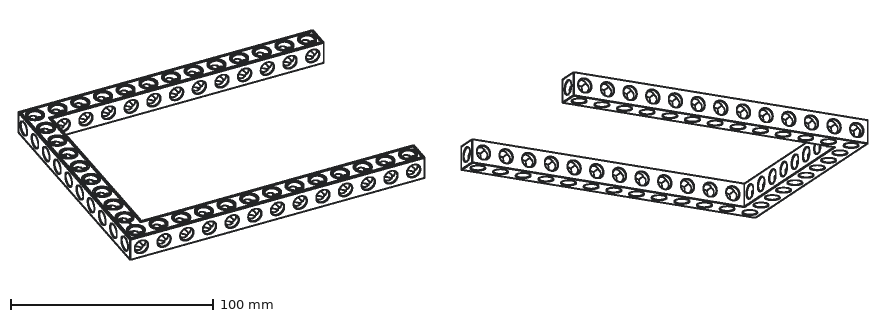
import cadquery as cq

PITCH = 12.5
BASE_HOLES = 10
ARM_HOLES = 13
HOLE_DIAMETER = 7.0
EDGE_CHAMFER = 0.3
RIM_DIAMETER = 9.2
RECESS_DEPTH = 0.2
RIB_WIDTH = 0.2

WIDTH = BASE_HOLES * PITCH
LENGTH = ARM_HOLES * PITCH
HALF_PITCH = PITCH / 2
HOLE_RADIUS = HOLE_DIAMETER / 2
RIM_WIDTH = (RIM_DIAMETER - HOLE_DIAMETER) / 2
RIGHT_ARM_X = WIDTH - PITCH

COLUMNS = [HALF_PITCH + i * PITCH for i in range(BASE_HOLES)]
ROWS = [HALF_PITCH + i * PITCH for i in range(ARM_HOLES)]
ARM_COLUMNS = [COLUMNS[0], COLUMNS[-1]]
BASE_ROW = ROWS[0]
VERTICAL_HOLE_POINTS = [(x, BASE_ROW) for x in COLUMNS]
VERTICAL_HOLE_POINTS += [(x, y) for x in ARM_COLUMNS for y in ROWS[1:]]


def u_outline(inset):
    """Closed outline of the U shape, moved inward by the given inset."""
    return (
        cq.Workplane("XY")
        .moveTo(inset, inset)
        .lineTo(WIDTH - inset, inset)
        .lineTo(WIDTH - inset, LENGTH - inset)
        .lineTo(RIGHT_ARM_X + inset, LENGTH - inset)
        .lineTo(RIGHT_ARM_X + inset, PITCH - inset)
        .lineTo(PITCH - inset, PITCH - inset)
        .lineTo(PITCH - inset, LENGTH - inset)
        .lineTo(inset, LENGTH - inset)
        .close()
    )


def frame():
    """U-shaped frame, chamfered everywhere but at its two upright inner corners."""
    body = u_outline(0).extrude(PITCH)
    inner_corners = cq.selectors.BoxSelector(
        (HALF_PITCH, HALF_PITCH, 0),
        (WIDTH - HALF_PITCH, PITCH + HALF_PITCH, PITCH),
    )
    outer_corners = body.edges("|Z").edges(cq.selectors.InverseSelector(inner_corners))
    flat_edges = body.faces("<Z or >Z").edges()
    return outer_corners.add(flat_edges).chamfer(EDGE_CHAMFER)


def top_recess():
    """Recess inside the border of the top face, leaving the hole rims and one rib."""
    recess = u_outline(RIM_WIDTH).extrude(RECESS_DEPTH)
    rims = (
        cq.Workplane("XY")
        .pushPoints(VERTICAL_HOLE_POINTS)
        .circle(RIM_DIAMETER / 2)
        .extrude(RECESS_DEPTH)
    )
    rib = (
        cq.Workplane("XY")
        .center(RIGHT_ARM_X, BASE_ROW)
        .rect(PITCH - HOLE_DIAMETER, RIB_WIDTH)
        .extrude(RECESS_DEPTH)
    )
    return recess.cut(rims).cut(rib).translate((0, 0, PITCH - RECESS_DEPTH))


def hole_cutter(start, direction, length=PITCH):
    """Cutter for a round hole that is chamfered where it enters and leaves."""
    mouth_radius = HOLE_RADIUS + EDGE_CHAMFER
    profile = (
        cq.Workplane(cq.Plane(start, normal=direction).rotated((90, 0, 0)))
        .lineTo(mouth_radius, 0)
        .lineTo(HOLE_RADIUS, EDGE_CHAMFER)
        .lineTo(HOLE_RADIUS, length - EDGE_CHAMFER)
        .lineTo(mouth_radius, length)
        .lineTo(0, length)
        .close()
    )
    return profile.revolve(360, (0, 0, 0), (0, 1, 0)).val()


def vertical_holes():
    """Holes along Z at every grid point of the frame."""
    return [hole_cutter((x, y, 0), (0, 0, 1)) for x, y in VERTICAL_HOLE_POINTS]


def holes_along_x():
    """One hole along the whole base, and holes across both arms."""
    cutters = [hole_cutter((0, BASE_ROW, HALF_PITCH), (1, 0, 0), WIDTH)]
    for arm_x in (0, RIGHT_ARM_X):
        cutters += [hole_cutter((arm_x, y, HALF_PITCH), (1, 0, 0)) for y in ROWS[1:]]
    return cutters


def holes_along_y():
    """One hole along the whole of each arm, and holes across the base."""
    cutters = [hole_cutter((x, 0, HALF_PITCH), (0, 1, 0), LENGTH) for x in ARM_COLUMNS]
    cutters += [hole_cutter((x, 0, HALF_PITCH), (0, 1, 0)) for x in COLUMNS[1:-1]]
    return cutters


body = frame().cut(top_recess()).val()
drilled = body.cut(*vertical_holes(), *holes_along_x(), *holes_along_y())
result = cq.Workplane(obj=drilled).solids()